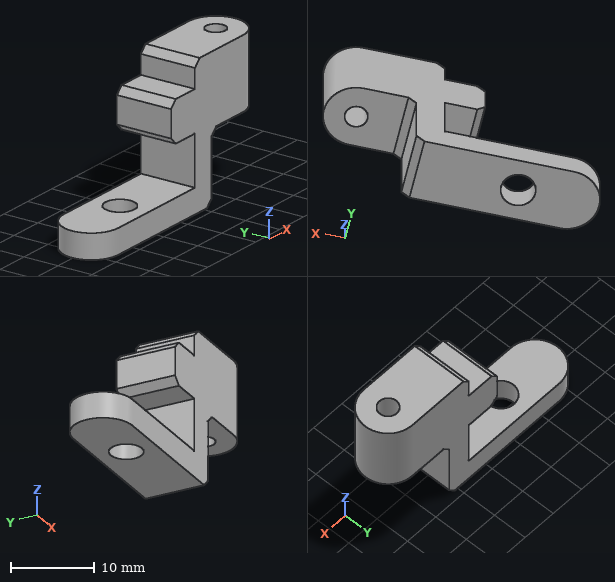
import cadquery as cq

length = 34.0
width = 8.0
height = 20.0
plate = 3.5
wall_x = 20.0
head_bottom = 10.0
chamfer = 1.0
tab_length = 5.0
tab_bottom = 10.5
tab_top = 16.3
foot_hole_x = 10.0
foot_hole_diameter = 4.2
head_hole_diameter = 2.8

end_radius = width / 2
wall_right = wall_x + plate
tab_x = wall_x - tab_length
head_hole_x = length - end_radius


def extrude_profile(points):
    """Extrude an XZ outline across the full width, centred on Y = 0."""
    return cq.Workplane("XZ").polyline(points).close().extrude(width / 2, both=True)


def make_bracket():
    """Z-shaped bracket: foot, upright wall and overhanging head."""
    return extrude_profile([
        (0, 0),
        (wall_right - chamfer, 0),
        (wall_right, chamfer),
        (wall_right, head_bottom - chamfer),
        (wall_right + chamfer, head_bottom),
        (length, head_bottom),
        (length, height),
        (wall_x + chamfer, height),
        (wall_x, height - chamfer),
        (wall_x, plate),
        (0, plate),
    ])


def make_tab():
    """Tab on the wall, with both edges of its free end chamfered."""
    return extrude_profile([
        (wall_x, tab_bottom),
        (wall_x, tab_top),
        (tab_x + chamfer, tab_top),
        (tab_x, tab_top - chamfer),
        (tab_x, tab_bottom + chamfer),
        (tab_x + chamfer, tab_bottom),
    ])


def make_hole(x, diameter):
    """Vertical cutter through the full height."""
    return cq.Workplane("XY").center(x, 0).circle(diameter / 2).extrude(height)


plan = cq.Workplane("XY").center(length / 2, 0).slot2D(length, width).extrude(height)

result = (
    make_bracket()
    .union(make_tab())
    .intersect(plan)
    .cut(make_hole(foot_hole_x, foot_hole_diameter))
    .cut(make_hole(head_hole_x, head_hole_diameter))
)